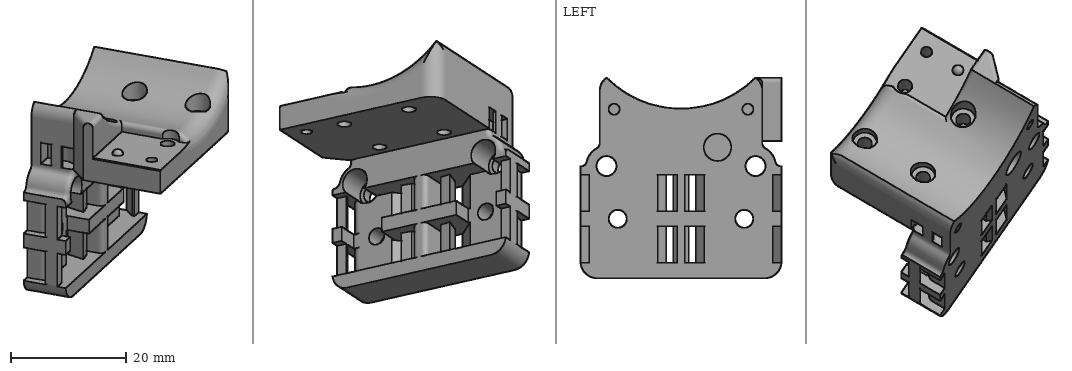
import cadquery as cq
import math

DEPTH = 26.0
WIDTH = 35.0
HEIGHT = 34.9
MID_Y = WIDTH / 2
OVER = 1.75
PICK = 0.05

PLATE_THICK = 8.0
SHOULDER_Z = 19.5
BOTTOM_CORNER_R = 3.0
BOSS_OFFSET = 12.95
BOSS_Z = 19.53
BOSS_R = 3.55
BLEND_R = 1.0
EAR_EDGE_R = 0.9

HEAD_HALF = 14.15
HEAD_BOTTOM_Z = 23.87
HEAD_ROUND_Z = 32.6
CRADLE_R = 18.2
CRADLE_BOTTOM_Z = 29.5
CRADLE_AXIS_Z = CRADLE_BOTTOM_Z + CRADLE_R
CRADLE_RIM_HALF = math.sqrt(CRADLE_R**2 - (CRADLE_AXIS_Z - HEIGHT) ** 2)
END_R = 3.0

WEB_SLANT = MID_Y - HEAD_HALF
PLATFORM_X = 13.15
PLATFORM_Y = 12.45
PLATFORM_Z = 28.35
SLANT_R = 0.9
STEP_R = 0.85
PLATFORM_EDGE = 0.18

SCREW_X = (10.5, 22.5)
SCREW_Y = (11.0, 24.0)
SCREW_D = 2.45
SCREW_HEAD_D = 4.3
SMALL_D = 1.92
PEG_Y = 3.55
PEG_HOLE_X = 22.82
DOME_X = 16.35
DOME_R = 0.98
DOME_SINK = 0.18
PIN_OFFSET = 11.62
PIN_Z = 29.4
PIN_DEPTH = 5.95
EAR_HOLE_D = 3.43
EAR_SEAT_X = 2.03
EAR_SEAT_D = 4.9
LOWER_HOLE_OFFSET = 11.0
LOWER_HOLE_Z = 10.35
LOWER_HOLE_D = 3.08
RECESS_Y = 11.15
RECESS_Z = 22.8
RECESS_D = 4.75
RECESS_DEPTH = 5.95

WINDOW_BOTTOMS = (2.73, 11.7)
WINDOW_HEIGHT = 6.3
NOTCH_DEPTH = 1.55
LOBE_FLAT_X = 2.52
NOSE_R = 1.4
LOBE_BACK_X = LOBE_FLAT_X + NOSE_R
SLOT_Y = 13.48
CORE_HALF = 0.65
CORE_BEVEL = 0.7
CORE_EDGE_R = 0.9
COLUMN_X = (4.1, 6.45)
BAR_TIP_Y = 14.98
BAR_LOW_X = 2.45
BAR_LOW_Y = SLOT_Y
BAR_BACK_X = 5.8
BAR_BACK_Y = 12.6
BACK_POCKET_Y = (1.9, 10.0)

TIE_Z = HEAD_BOTTOM_Z
TIE_HEIGHT = 4.02
TIE_X = 1.8
TIE_POST_X = (3.78, 5.7)
TIE_DEPTH = 2.9
TIE_ROUND_R = 2.73
TIE_POST_DEPTH = 0.5


def mirror_y(body):
    """Copy of a body on the other side of the middle plane."""
    return body.mirror("XZ", (0, MID_Y, 0))


def both_sides(body):
    return body.union(mirror_y(body))


def x_hole(y, z, diameter, depth):
    return cq.Workplane("YZ").center(y, z).circle(diameter / 2).extrude(depth)


def z_hole(x, y, diameter, z_low, z_high):
    return (
        cq.Workplane("XY", origin=(x, y, z_low)).circle(diameter / 2).extrude(z_high - z_low)
    )


def box(x, y, z):
    """Box from (low, high) pairs."""
    size = [high - low for low, high in (x, y, z)]
    return cq.Workplane("XY", origin=(x[0], y[0], z[0])).box(*size, centered=False)


def make_plate():
    """Plate below the head, with an ear blended in at each shoulder."""
    reach = BOSS_R + BLEND_R
    upper_dy = HEAD_HALF + BLEND_R - BOSS_OFFSET
    upper_dz = math.sqrt(reach**2 - upper_dy**2)
    lower_dz = SHOULDER_Z + BLEND_R - BOSS_Z
    lower_dy = math.sqrt(reach**2 - lower_dz**2)
    share = BOSS_R / reach
    blend_top = (HEAD_HALF, BOSS_Z + upper_dz)
    ear_top = (BOSS_OFFSET + upper_dy * share, BOSS_Z + upper_dz * share)
    ear_low = (BOSS_OFFSET + lower_dy * share, BOSS_Z + lower_dz * share)
    blend_low = (BOSS_OFFSET + lower_dy, SHOULDER_Z)

    half = (
        cq.Workplane("YZ", origin=(0, MID_Y, 0))
        .moveTo(0, 0)
        .lineTo(MID_Y - BOTTOM_CORNER_R, 0)
        .radiusArc((MID_Y, BOTTOM_CORNER_R), -BOTTOM_CORNER_R)
        .lineTo(MID_Y, SHOULDER_Z)
        .lineTo(*blend_low)
        .radiusArc(ear_low, BLEND_R)
        .radiusArc(ear_top, -BOSS_R)
        .radiusArc(blend_top, BLEND_R)
        .lineTo(HEAD_HALF, HEAD_BOTTOM_Z)
        .lineTo(0, HEAD_BOTTOM_Z)
        .close()
        .extrude(PLATE_THICK)
    )
    rim = cq.selectors.BoxSelector(
        (PLATE_THICK - PICK, MID_Y + HEAD_HALF - PICK, SHOULDER_Z - PICK),
        (PLATE_THICK + PICK, WIDTH - PICK, HEAD_BOTTOM_Z - PICK),
    )
    return both_sides(half.edges(rim).fillet(EAR_EDGE_R))


def make_head_block():
    """Head block with rounded upper flanks and a rounded +Y corner."""
    half = (
        cq.Workplane("YZ", origin=(0, MID_Y, 0))
        .moveTo(HEAD_HALF, HEAD_BOTTOM_Z)
        .lineTo(HEAD_HALF, HEAD_ROUND_Z)
        .tangentArcPoint((CRADLE_RIM_HALF, HEIGHT), relative=False)
        .lineTo(0, HEIGHT)
        .lineTo(0, HEAD_BOTTOM_Z)
        .close()
        .extrude(DEPTH)
    )
    corner_x = DEPTH - END_R
    corner_y = MID_Y + HEAD_HALF - END_R
    corner = box((corner_x, DEPTH), (corner_y, corner_y + END_R), (0, HEIGHT))
    corner = corner.cut(z_hole(corner_x, corner_y, 2 * END_R, 0, HEIGHT))
    return both_sides(half).cut(corner)


def make_web():
    """Web that ties the platform to the plate, with a slanted and rounded face."""
    web = (
        cq.Workplane("XY", origin=(0, 0, HEAD_BOTTOM_Z))
        .moveTo(PLATE_THICK, WEB_SLANT)
        .lineTo(PLATE_THICK + WEB_SLANT, 0)
        .lineTo(PLATFORM_X, 0)
        .lineTo(PLATFORM_X, PLATFORM_Y)
        .lineTo(PLATE_THICK, PLATFORM_Y)
        .close()
        .extrude(HEIGHT - HEAD_BOTTOM_Z)
    )
    slant_top = cq.selectors.NearestToPointSelector(
        (PLATE_THICK + WEB_SLANT / 2, WEB_SLANT / 2, HEIGHT)
    )
    return web.edges(slant_top).fillet(SLANT_R)


def make_cradle_cutter():
    """Round bar that forms the cradle and flares out at the +X end."""
    return (
        cq.Workplane("XY", origin=(0, MID_Y, CRADLE_AXIS_Z))
        .moveTo(-OVER, 0)
        .lineTo(-OVER, CRADLE_R)
        .lineTo(DEPTH - END_R, CRADLE_R)
        .radiusArc((DEPTH, CRADLE_R + END_R), -END_R)
        .lineTo(DEPTH + OVER, CRADLE_R + END_R)
        .lineTo(DEPTH + OVER, 0)
        .close()
        .revolve(360, (0, 0, 0), (1, 0, 0))
    )


def make_head():
    """Cradle head with the web and the low platform."""
    slab = box((PLATFORM_X, DEPTH), (0, PLATFORM_Y), (HEAD_BOTTOM_Z, PLATFORM_Z))
    head = make_head_block().union(make_web()).union(slab)
    above_slab = box((PLATFORM_X, DEPTH), (0, PLATFORM_Y), (PLATFORM_Z, HEIGHT))
    head = head.cut(make_cradle_cutter()).cut(above_slab)
    rim_zone = cq.selectors.BoxSelector(
        (PLATFORM_X - PICK, -PICK, PLATFORM_Z + PICK),
        (DEPTH - PICK, PLATFORM_Y + PICK, HEIGHT + PICK),
    )
    head = head.edges(rim_zone).edges("not |Z").fillet(STEP_R)
    front_edge = cq.selectors.NearestToPointSelector(((PLATFORM_X + DEPTH) / 2, 0, PLATFORM_Z))
    return head.edges(front_edge).chamfer(PLATFORM_EDGE)


def make_window_side():
    """Cutter for the -Y half of one pair of tie windows, at Z = 0."""
    core_y = MID_Y - CORE_HALF
    wall_y = core_y - CORE_BEVEL
    space = (
        cq.Workplane("XY")
        .moveTo(0, 0)
        .lineTo(0, core_y)
        .lineTo(CORE_BEVEL, wall_y)
        .lineTo(PLATE_THICK - CORE_EDGE_R, wall_y)
        .radiusArc((PLATE_THICK, wall_y + CORE_EDGE_R), -CORE_EDGE_R)
        .lineTo(PLATE_THICK, 0)
        .close()
        .extrude(WINDOW_HEIGHT)
    )
    nose_run = NOSE_R * math.sin(math.radians(45))
    nose_drop = NOSE_R - nose_run
    bar_bevel = BAR_TIP_Y - nose_drop - BAR_LOW_Y
    lobe = (
        cq.Workplane("XY")
        .moveTo(0, NOTCH_DEPTH)
        .lineTo(LOBE_FLAT_X, NOTCH_DEPTH)
        .radiusArc((LOBE_BACK_X, NOTCH_DEPTH + NOSE_R), -NOSE_R)
        .lineTo(LOBE_BACK_X, SLOT_Y - LOBE_BACK_X)
        .lineTo(0, SLOT_Y)
        .close()
        .extrude(WINDOW_HEIGHT)
    )
    front_x, back_x = COLUMN_X
    column = (
        cq.Workplane("XY")
        .polyline([(front_x, 0), (back_x, 0), (back_x, back_x - front_x)])
        .close()
        .extrude(WINDOW_HEIGHT)
    )
    bar = (
        cq.Workplane("XY")
        .moveTo(BAR_LOW_X, BAR_LOW_Y)
        .lineTo(BAR_LOW_X + bar_bevel, BAR_LOW_Y + bar_bevel)
        .radiusArc((BAR_LOW_X + bar_bevel + 2 * nose_run, BAR_LOW_Y + bar_bevel), NOSE_R)
        .lineTo(BAR_BACK_X, BAR_BACK_Y)
        .close()
        .extrude(WINDOW_HEIGHT)
    )
    return space.cut(lobe).cut(column).cut(bar)


def make_tie_channel():
    """Channel that runs behind a post in the head side; its back curves out to the +X face."""
    wall_y = MID_Y - HEAD_HALF
    back_y = wall_y + TIE_DEPTH
    channel = (
        cq.Workplane("XY", origin=(0, 0, TIE_Z))
        .moveTo(TIE_X, wall_y)
        .lineTo(TIE_X, back_y)
        .lineTo(PLATE_THICK - TIE_ROUND_R, back_y)
        .radiusArc((PLATE_THICK, back_y - TIE_ROUND_R), TIE_ROUND_R)
        .lineTo(PLATE_THICK, wall_y)
        .close()
        .extrude(TIE_HEIGHT)
    )
    post = box(TIE_POST_X, (wall_y, wall_y + TIE_POST_DEPTH), (TIE_Z, TIE_Z + TIE_HEIGHT))
    return channel.cut(post)


def make_tie_windows():
    """Both rows of tie windows and the +X pockets that join them."""
    pocket = box(
        (LOBE_BACK_X, PLATE_THICK),
        BACK_POCKET_Y,
        (WINDOW_BOTTOMS[0], WINDOW_BOTTOMS[1] + WINDOW_HEIGHT),
    )
    cutter = both_sides(pocket)
    window = both_sides(make_window_side())
    for bottom in WINDOW_BOTTOMS:
        cutter = cutter.union(window.translate((0, 0, bottom)))
    return cutter


def cut_vertical_holes(body):
    """Four counterbored screw holes and one peg hole along Z."""
    for x in SCREW_X:
        for y in SCREW_Y:
            body = body.cut(z_hole(x, y, SCREW_D, 0, HEIGHT))
            body = body.cut(z_hole(x, y, SCREW_HEAD_D, PLATFORM_Z, HEIGHT))
    return body.cut(z_hole(PEG_HOLE_X, PEG_Y, SMALL_D, 0, HEIGHT))


def cut_face_holes(body):
    """Holes along X: ear, lower and pin holes on both sides, and one round recess."""
    for side in (-1, 1):
        ear_y = MID_Y + side * BOSS_OFFSET
        lower_y = MID_Y + side * LOWER_HOLE_OFFSET
        pin_y = MID_Y + side * PIN_OFFSET
        ear_seat = x_hole(ear_y, BOSS_Z, EAR_SEAT_D, PLATE_THICK - EAR_SEAT_X)
        body = body.cut(x_hole(ear_y, BOSS_Z, EAR_HOLE_D, PLATE_THICK))
        body = body.cut(ear_seat.translate((EAR_SEAT_X, 0, 0)))
        body = body.cut(x_hole(lower_y, LOWER_HOLE_Z, LOWER_HOLE_D, PLATE_THICK))
        body = body.cut(x_hole(pin_y, PIN_Z, SMALL_D, PIN_DEPTH))
    return body.cut(x_hole(RECESS_Y, RECESS_Z, RECESS_D, RECESS_DEPTH))


dome = cq.Workplane("XY", origin=(DOME_X, PEG_Y, PLATFORM_Z - DOME_SINK)).sphere(DOME_R)

body = make_plate().union(make_head())
body = body.cut(make_tie_windows()).cut(both_sides(make_tie_channel()))
body = cut_face_holes(cut_vertical_holes(body))
result = body.union(dome)